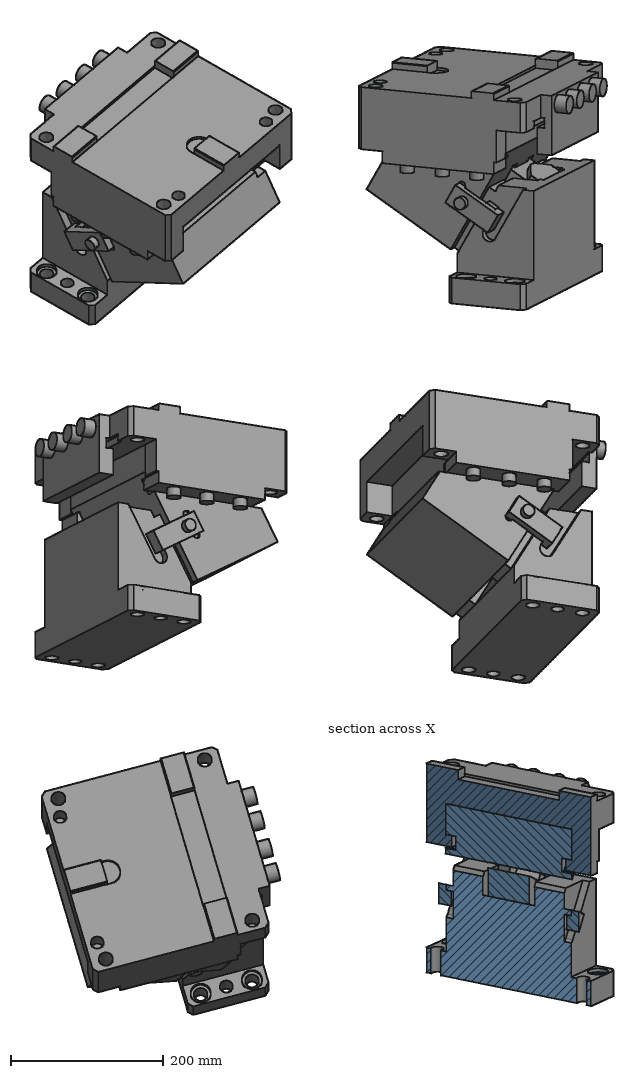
import cadquery as cq
import math

TOTAL_HEIGHT = 289.0
HALF_WIDTH = 130.0
CORNER_CHAMFER = 5.8
SLOPE_ANGLE = 60.0

BASE_LENGTH = 110.0
BASE_HEIGHT = 155.0
BASE_HALF_WIDTH = 98.8
FOOT_HEIGHT = 35.0
SLOPE_TOP_X = 55.5
FOOT_HOLE_Y = 115.0
FOOT_BOLT_SPACING = 70.0
FOOT_BOLT_RADIUS = 9.0
FOOT_BOLT_HEAD_RADIUS = 13.3
FOOT_BOLT_HEAD_DEPTH = 5.0
FOOT_DOWEL_RADIUS = 8.5

WEAR_PLATE_THICKNESS = 10.0
WEAR_PLATE_TOP = 9.8
WEAR_PLATE_OUTER_Y = 88.0
SIDE_SLOT_RADIUS = 9.8
SIDE_SLOT_OUT = -24.9
SIDE_SLOT_END = 59.8

STRAP_START = -25.0
STRAP_END = 45.5
STRAP_TOP = 25.5
STRAP_WIDTH = 29.0
STRAP_OUTER_Y = 110.7
STRAP_BOLT_OUT = 25.5
STRAP_BOLT_RADIUS = 8.0
STRAP_BOLT_END_Y = 119.6
HOOK_REACH = 8.0
STRAP_RELIEF_RADIUS = 5.2
STRAP_RELIEF_DEPTH = 4.0

TONGUE_HALF_WIDTH = 33.0
TONGUE_TOP = -5.0
TONGUE_BOTTOM = 29.0
TONGUE_BACK = -35.5
PAD_TOP = -15.0
PAD_FRONT = -2.3
PAD_FRONT_HALF_WIDTH = 5.2
PAD_SIDE_FRONT = -17.3
TONGUE_RELIEF_RADIUS = 6.5
TONGUE_RELIEF_HEIGHT = 6.5
NOTCH_HALF_WIDTH = 40.5
NOTCH_BACK = -30.0

SLIDER_HALF_WIDTH = 100.0
NECK_HALF_WIDTH = 84.5
NECK_BOTTOM_Z = 177.7
SLIDER_SHOULDER_Z = 185.0

BLOCK_LENGTH = 240.0
BLOCK_TOP_Z = 279.8
FLANGE_BOTTOM_Z = 239.3
LEG_BOTTOM_Z = 196.0
LEG_START_X = 40.0
GIB_BOTTOM_Z = 180.0
GIB_START_X = 44.0
GIB_END_X = 204.0
GIB_INNER_Y = 90.0
GIB_SCREW_X = (74.3, 124.0, 174.3)
GIB_SCREW_Y = 116.0
GIB_SCREW_RADIUS = 9.2
GIB_SCREW_BOTTOM_Z = 168.2
FLANGE_POCKET_HALF_WIDTH = 98.0
FLANGE_POCKET_TOP_Z = 248.8
FLANGE_POCKET_DEPTH = 5.0

PLATE_START_X = -15.3
PLATE_END_X = 5.5
PLATE_HALF_WIDTH = 75.7
PLATE_BOTTOM_Z = 199.5
PLATE_SLOT_BOTTOM_Z = 235.2
PLATE_SLOT_START_X = -5.0
PLUG_START_X = -32.0
PLUG_RADIUS = 11.8
PLUG_Z = 265.0
PLUG_Y = (-55.0, -20.0, 20.0, 55.0)

KEY_WIDTH = 32.5
KEY_CHAMFER = 1.0
KEYWAY_DEPTH = 3.8
SIDE_KEY_START_X = 44.0
SIDE_KEY_INNER_Y = 79.5
END_KEY_START_X = 189.5
END_KEYWAY_CENTRE_X = 184.5
MOUNT_HOLE_X = (20.0, 219.5)
MOUNT_HOLE_Y = 115.5
MOUNT_HOLE_RADIUS = 9.2
DOWEL_X = 224.3
DOWEL_Y = 90.5
DOWEL_RADIUS = 8.5
DOWEL_DEPTH = 29.0

SIDES = (-1, 1)
SLOPE_SIN = math.sin(math.radians(SLOPE_ANGLE))
SLOPE_COS = math.cos(math.radians(SLOPE_ANGLE))


def on_slope(out, down):
    """X and Z of a point given by its distances from the top edge of the sliding plane."""
    x = SLOPE_TOP_X + out * SLOPE_SIN + down * SLOPE_COS
    z = BASE_HEIGHT + out * SLOPE_COS - down * SLOPE_SIN
    return x, z


SLOPE_LENGTH = (BASE_LENGTH - SLOPE_TOP_X) / SLOPE_COS
SLOPE_BOTTOM_Z = on_slope(0, SLOPE_LENGTH)[1]
SLIDER_TOP_DOWN = (LEG_START_X - on_slope(WEAR_PLATE_THICKNESS, 0)[0]) / SLOPE_COS
NOSE_OUT = (BLOCK_LENGTH - on_slope(0, SLOPE_LENGTH)[0]) / SLOPE_SIN


def box(x0, x1, y0, y1, z0, z1):
    """Box between two corners."""
    return cq.Workplane("XY").box(x1 - x0, y1 - y0, z1 - z0, centered=False).translate((x0, y0, z0))


def side_box(x0, x1, y0, y1, z0, z1, side):
    """Box whose Y range is mirrored to the chosen side."""
    ya, yb = sorted((side * y0, side * y1))
    return box(x0, x1, ya, yb, z0, z1)


def xz_prism(points, y0, y1):
    """Outline in the XZ plane, extruded between two Y positions."""
    ya, yb = sorted((y0, y1))
    return cq.Workplane("XZ", origin=(0, ya, 0)).polyline(points).close().extrude(ya - yb)


def slope_block(out0, out1, down0, down1, y0, y1):
    """Block aligned with the sliding plane."""
    corners = ((out0, down0), (out1, down0), (out1, down1), (out0, down1))
    return xz_prism([on_slope(*corner) for corner in corners], y0, y1)


def slope_pin(out, down, radius, y0, y1):
    """Cylinder along Y at a place given on the sliding plane."""
    ya, yb = sorted((y0, y1))
    plane = cq.Workplane("XZ", origin=(0, ya, 0))
    return plane.center(*on_slope(out, down)).circle(radius).extrude(ya - yb)


def tilted_plane(down):
    """Workplane square to the sliding plane: local x is "out", local y is Y, normal points up."""
    x, z = on_slope(0, down)
    plane = cq.Plane(origin=(x, 0, z), xDir=(SLOPE_SIN, 0, SLOPE_COS), normal=(-SLOPE_COS, 0, SLOPE_SIN))
    return cq.Workplane(plane)


def upright_holes(points, radius, z0, z1):
    """Vertical cylinders at the given points."""
    return cq.Workplane("XY", origin=(0, 0, z0)).pushPoints(points).circle(radius).extrude(z1 - z0)




def side_slot(side):
    """Slot for the strap hook: open above the lug, round at its lower end."""
    floor_y = side * WEAR_PLATE_OUTER_Y
    outer_y = side * HALF_WIDTH
    slot_back = SIDE_SLOT_OUT - SIDE_SLOT_RADIUS
    slot_front = SIDE_SLOT_OUT + SIDE_SLOT_RADIUS
    above_base = slot_back
    slot = slope_block(slot_back, slot_front, above_base, SIDE_SLOT_END, floor_y, outer_y)
    slot = slot.union(slope_pin(SIDE_SLOT_OUT, SIDE_SLOT_END, SIDE_SLOT_RADIUS, floor_y, outer_y))
    return slot.union(slope_block(slot_back, WEAR_PLATE_THICKNESS, above_base, STRAP_TOP, floor_y, outer_y))


def tongue_notch():
    """Notch in the sloping face that takes the slider's tongue."""
    above_base = TONGUE_BACK
    wide = slope_block(
        NOTCH_BACK, WEAR_PLATE_THICKNESS, above_base, TONGUE_BOTTOM, -NOTCH_HALF_WIDTH, NOTCH_HALF_WIDTH
    )
    narrow = slope_block(TONGUE_BACK, 0, above_base, TONGUE_BOTTOM, -TONGUE_HALF_WIDTH, TONGUE_HALF_WIDTH)
    return wide.union(narrow)


def wear_plate(side):
    """Plate raised on the sloping face, between the tongue notch and the side slot."""
    return slope_block(
        0, WEAR_PLATE_THICKNESS, WEAR_PLATE_TOP, SLOPE_LENGTH,
        side * NOTCH_HALF_WIDTH, side * WEAR_PLATE_OUTER_Y,
    )


def foot_holes():
    """Counterbored bolt holes and a dowel hole at each end of the foot."""
    middle = BASE_LENGTH / 2
    bolts = [(middle + s * FOOT_BOLT_SPACING / 2, t * FOOT_HOLE_Y) for s in SIDES for t in SIDES]
    dowels = [(middle, t * FOOT_HOLE_Y) for t in SIDES]
    holes = upright_holes(bolts, FOOT_BOLT_RADIUS, 0, FOOT_HEIGHT)
    holes = holes.union(
        upright_holes(bolts, FOOT_BOLT_HEAD_RADIUS, FOOT_HEIGHT - FOOT_BOLT_HEAD_DEPTH, FOOT_HEIGHT)
    )
    return holes.union(upright_holes(dowels, FOOT_DOWEL_RADIUS, 0, FOOT_HEIGHT))


def make_base():
    foot = box(0, BASE_LENGTH, -HALF_WIDTH, HALF_WIDTH, 0, FOOT_HEIGHT)
    foot = foot.edges("|Z").chamfer(CORNER_CHAMFER)
    outline = [
        (0, 0),
        (BASE_LENGTH, 0),
        (BASE_LENGTH, SLOPE_BOTTOM_Z),
        (SLOPE_TOP_X, BASE_HEIGHT),
        (0, BASE_HEIGHT),
    ]
    body = foot.union(xz_prism(outline, -BASE_HALF_WIDTH, BASE_HALF_WIDTH))
    for side in SIDES:
        body = body.cut(side_slot(side)).union(wear_plate(side))
    return body.cut(tongue_notch()).cut(foot_holes())




def slider_wedge():
    """Wedge between the sliding plane and the top block, necked for the gibs."""
    nose_x, nose_z = on_slope(NOSE_OUT, SLOPE_LENGTH)
    shoulder_x = nose_x - (SLIDER_SHOULDER_Z - nose_z) * SLOPE_COS / SLOPE_SIN
    outline = [
        on_slope(WEAR_PLATE_THICKNESS, SLIDER_TOP_DOWN),
        on_slope(WEAR_PLATE_THICKNESS, SLOPE_LENGTH),
        (nose_x, nose_z),
        (shoulder_x, SLIDER_SHOULDER_Z),
        (GIB_END_X, SLIDER_SHOULDER_Z),
        (GIB_END_X, FLANGE_BOTTOM_Z),
        (LEG_START_X, FLANGE_BOTTOM_Z),
    ]
    wedge = xz_prism(outline, -SLIDER_HALF_WIDTH, SLIDER_HALF_WIDTH)
    for side in SIDES:
        wedge = wedge.cut(
            side_box(0, BLOCK_LENGTH, NECK_HALF_WIDTH, HALF_WIDTH, NECK_BOTTOM_Z, LEG_BOTTOM_Z, side)
        )
    return wedge


def strap_reliefs(side):
    """Round corner reliefs of the strap seat in the slider's side."""
    inner_y = side * (SLIDER_HALF_WIDTH - STRAP_RELIEF_DEPTH)
    outer_y = side * HALF_WIDTH
    out = STRAP_END - STRAP_RELIEF_RADIUS
    upper = slope_pin(out, STRAP_TOP, STRAP_RELIEF_RADIUS, inner_y, outer_y)
    return upper.union(slope_pin(out, STRAP_TOP + STRAP_WIDTH, STRAP_RELIEF_RADIUS, inner_y, outer_y))


def strap(side):
    """Return strap with its bolt head and the hook that rides behind the base lug."""
    bottom = STRAP_TOP + STRAP_WIDTH
    hook_end = SIDE_SLOT_OUT + SIDE_SLOT_RADIUS
    hook_y = BASE_HALF_WIDTH - HOOK_REACH
    seat_y = SLIDER_HALF_WIDTH - STRAP_RELIEF_DEPTH
    bar = slope_block(STRAP_START, STRAP_END, STRAP_TOP, bottom, side * BASE_HALF_WIDTH, side * STRAP_OUTER_Y)
    hook = slope_block(STRAP_START, hook_end, STRAP_TOP, bottom, side * hook_y, side * BASE_HALF_WIDTH)
    seat = slope_block(
        WEAR_PLATE_THICKNESS, STRAP_END, STRAP_TOP, bottom, side * seat_y, side * BASE_HALF_WIDTH
    )
    head = slope_pin(
        STRAP_BOLT_OUT, STRAP_TOP + STRAP_WIDTH / 2, STRAP_BOLT_RADIUS,
        side * STRAP_OUTER_Y, side * STRAP_BOLT_END_Y,
    )
    return bar.union(hook).union(seat).union(head)


def tongue():
    """Tongue that reaches into the base notch, with a blunt-nosed pad on its top."""
    bar = slope_block(
        TONGUE_BACK, WEAR_PLATE_THICKNESS, TONGUE_TOP, TONGUE_BOTTOM, -TONGUE_HALF_WIDTH, TONGUE_HALF_WIDTH
    )
    pad = (
        tilted_plane(TONGUE_TOP)
        .moveTo(TONGUE_BACK, -TONGUE_HALF_WIDTH)
        .lineTo(PAD_SIDE_FRONT, -TONGUE_HALF_WIDTH)
        .lineTo(PAD_FRONT, -PAD_FRONT_HALF_WIDTH)
        .lineTo(PAD_FRONT, PAD_FRONT_HALF_WIDTH)
        .lineTo(PAD_SIDE_FRONT, TONGUE_HALF_WIDTH)
        .lineTo(TONGUE_BACK, TONGUE_HALF_WIDTH)
        .close()
        .extrude(TONGUE_TOP - PAD_TOP)
    )
    return bar.union(pad)


def tongue_reliefs():
    """Round corner reliefs in the slider face just above the tongue."""
    y = TONGUE_HALF_WIDTH - TONGUE_RELIEF_RADIUS
    centres = [(WEAR_PLATE_THICKNESS, side * y) for side in SIDES]
    plane = tilted_plane(TONGUE_TOP).pushPoints(centres)
    return plane.circle(TONGUE_RELIEF_RADIUS).extrude(TONGUE_RELIEF_HEIGHT)


def make_slider():
    body = slider_wedge()
    for side in SIDES:
        body = body.cut(strap_reliefs(side))
        body = body.union(strap(side))
    return body.union(tongue()).cut(tongue_reliefs())




def block_body():
    """Flange with two side legs, open below for the slider."""
    body = box(0, BLOCK_LENGTH, -HALF_WIDTH, HALF_WIDTH, LEG_BOTTOM_Z, BLOCK_TOP_Z)
    body = body.edges("|Z").chamfer(CORNER_CHAMFER)
    body = body.cut(box(0, LEG_START_X, -HALF_WIDTH, HALF_WIDTH, 0, FLANGE_BOTTOM_Z))
    return body.cut(
        box(LEG_START_X, BLOCK_LENGTH, -SLIDER_HALF_WIDTH, SLIDER_HALF_WIDTH, 0, FLANGE_BOTTOM_Z)
    )


def gib(side):
    """Gib under one leg, with its screw heads."""
    bar = side_box(GIB_START_X, GIB_END_X, GIB_INNER_Y, HALF_WIDTH, GIB_BOTTOM_Z, LEG_BOTTOM_Z, side)
    places = [(x, side * GIB_SCREW_Y) for x in GIB_SCREW_X]
    return bar.union(upright_holes(places, GIB_SCREW_RADIUS, GIB_SCREW_BOTTOM_Z, GIB_BOTTOM_Z))


def front_plate():
    """Slotted plate on the front of the flange, with four plugs."""
    outline = [
        (PLATE_START_X, PLATE_BOTTOM_Z),
        (PLATE_END_X, PLATE_BOTTOM_Z),
        (PLATE_END_X, PLATE_SLOT_BOTTOM_Z),
        (PLATE_SLOT_START_X, PLATE_SLOT_BOTTOM_Z),
        (PLATE_SLOT_START_X, FLANGE_POCKET_TOP_Z),
        (0, FLANGE_POCKET_TOP_Z),
        (0, BLOCK_TOP_Z),
        (PLATE_START_X, BLOCK_TOP_Z),
    ]
    plate = xz_prism(outline, -PLATE_HALF_WIDTH, PLATE_HALF_WIDTH)
    plugs = (
        cq.Workplane("YZ", origin=(PLUG_START_X, 0, 0))
        .pushPoints([(y, PLUG_Z) for y in PLUG_Y])
        .circle(PLUG_RADIUS)
        .extrude(PLATE_START_X - PLUG_START_X)
    )
    return plate.union(plugs)


def add_keys(body):
    """Keyways in the top face and the keys seated in them."""
    floor_z = BLOCK_TOP_Z - KEYWAY_DEPTH
    half_key = KEY_WIDTH / 2
    side_key_end_x = SIDE_KEY_START_X + KEY_WIDTH
    body = body.cut(box(SIDE_KEY_START_X, side_key_end_x, -HALF_WIDTH, HALF_WIDTH, floor_z, BLOCK_TOP_Z))
    body = body.cut(box(END_KEYWAY_CENTRE_X, BLOCK_LENGTH, -half_key, half_key, floor_z, BLOCK_TOP_Z))
    body = body.cut(upright_holes([(END_KEYWAY_CENTRE_X, 0)], half_key, floor_z, BLOCK_TOP_Z))
    for side in SIDES:
        key = side_box(
            SIDE_KEY_START_X, side_key_end_x, SIDE_KEY_INNER_Y, HALF_WIDTH, floor_z, TOTAL_HEIGHT, side
        )
        body = body.union(key.edges("|Y and >Z").chamfer(KEY_CHAMFER))
    end_key = box(END_KEY_START_X, BLOCK_LENGTH, -half_key, half_key, floor_z, TOTAL_HEIGHT)
    return body.union(end_key.edges("|X and >Z").chamfer(KEY_CHAMFER))


def top_holes():
    """Four through holes at the corners and two blind dowel holes."""
    mounts = [(x, side * MOUNT_HOLE_Y) for x in MOUNT_HOLE_X for side in SIDES]
    dowels = [(DOWEL_X, side * DOWEL_Y) for side in SIDES]
    holes = upright_holes(mounts, MOUNT_HOLE_RADIUS, LEG_BOTTOM_Z, BLOCK_TOP_Z)
    return holes.union(upright_holes(dowels, DOWEL_RADIUS, BLOCK_TOP_Z - DOWEL_DEPTH, BLOCK_TOP_Z))


def make_top_block():
    body = block_body()
    for side in SIDES:
        body = body.union(gib(side))
    body = body.cut(
        box(
            0, FLANGE_POCKET_DEPTH, -FLANGE_POCKET_HALF_WIDTH, FLANGE_POCKET_HALF_WIDTH,
            FLANGE_BOTTOM_Z, FLANGE_POCKET_TOP_Z,
        )
    )
    body = body.union(front_plate())
    return add_keys(body).cut(top_holes())


base = make_base()
slider = make_slider()
top_block = make_top_block()

result = cq.Compound.makeCompound([base.val(), slider.val(), top_block.val()])